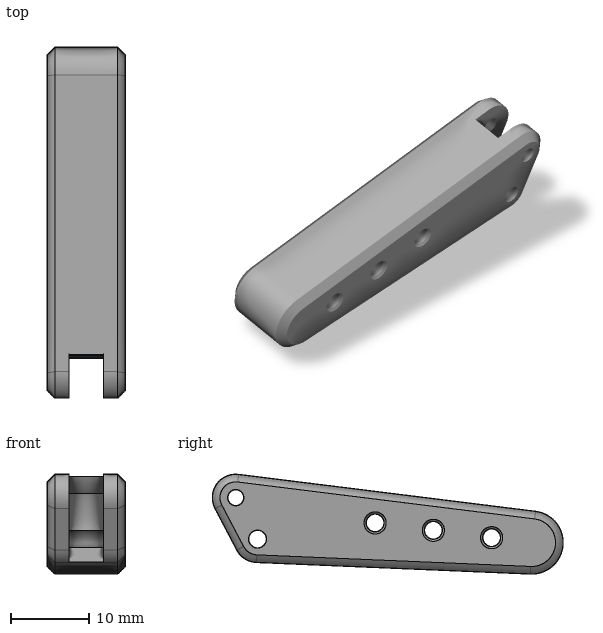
import cadquery as cq
import math

width = 10.0
length = 44.8
height = 12.75
edge_chamfer = 1.0
tail_radius = 4.05
fork_radius = 3.0

tail_center = (length - tail_radius, tail_radius)
upper_pin = (fork_radius, height - fork_radius)
lower_pin = (5.8, 4.5)

upper_pin_diameter = 2.0
lower_pin_diameter = 2.25

cross_hole_count = 3
cross_hole_diameter = 2.25
countersink_diameter = 2.8
first_cross_hole = (20.8, 6.55)
cross_hole_step = (7.45, -0.95)

slot_width = 4.4
slot_top = (5.6, 12.45)
slot_bend = (6.8, 10.3)
slot_bottom = (5.05, 1.52)


def side_plane(thickness):
    """YZ plane from which an extrusion of this thickness is centred on X = 0."""
    return cq.Workplane("YZ").workplane(offset=-thickness / 2)


def tangent_line(start, start_radius, end, end_radius):
    """Outer tangent of two circles, on the right-hand side going from start to end."""
    dy = end[0] - start[0]
    dz = end[1] - start[1]
    distance = math.hypot(dy, dz)
    normal = math.atan2(dz, dy) - math.acos((start_radius - end_radius) / distance)
    return (
        point_on_circle(start, start_radius, normal),
        point_on_circle(end, end_radius, normal),
    )


def point_on_circle(center, radius, angle):
    return (center[0] + radius * math.cos(angle), center[1] + radius * math.sin(angle))


def outer_arc_middle(center, radius, arc_start, arc_end):
    """Point on the circle halfway between the two ends of a rounded corner."""
    dy = arc_start[0] + arc_end[0] - 2 * center[0]
    dz = arc_start[1] + arc_end[1] - 2 * center[1]
    return point_on_circle(center, radius, math.atan2(dz, dy))


def make_body():
    bottom_start, bottom_end = tangent_line(lower_pin, fork_radius, tail_center, tail_radius)
    top_start, top_end = tangent_line(tail_center, tail_radius, upper_pin, fork_radius)
    front_start, front_end = tangent_line(upper_pin, fork_radius, lower_pin, fork_radius)
    return (
        side_plane(width)
        .moveTo(*bottom_start)
        .lineTo(*bottom_end)
        .threePointArc(outer_arc_middle(tail_center, tail_radius, bottom_end, top_start), top_start)
        .lineTo(*top_end)
        .threePointArc(outer_arc_middle(upper_pin, fork_radius, top_end, front_start), front_start)
        .lineTo(*front_end)
        .threePointArc(outer_arc_middle(lower_pin, fork_radius, front_end, bottom_start), bottom_start)
        .close()
        .extrude(width)
        .faces("<X or >X")
        .chamfer(edge_chamfer)
    )


def extend_to_height(start, end, z):
    """Y and Z where the line through two points reaches the given height."""
    slope = (end[0] - start[0]) / (end[1] - start[1])
    return (start[0] + slope * (z - start[1]), z)


def make_slot():
    wall_top = extend_to_height(slot_bend, slot_top, height)
    wall_bottom = extend_to_height(slot_bend, slot_bottom, 0)
    return (
        side_plane(slot_width)
        .polyline([(0, 0), wall_bottom, slot_bend, wall_top, (0, height)])
        .close()
        .extrude(slot_width)
    )


def make_cross_cylinder(center, diameter):
    return side_plane(width).center(*center).circle(diameter / 2).extrude(width)


def make_countersunk_hole(center):
    """Through hole with a 45 degree countersink at both ends."""
    depth = (countersink_diameter - cross_hole_diameter) / 2
    hole = make_cross_cylinder(center, cross_hole_diameter)
    for side in (-1, 1):
        cone = cq.Solid.makeCone(
            countersink_diameter / 2,
            cross_hole_diameter / 2,
            depth,
            pnt=cq.Vector(side * width / 2, *center),
            dir=cq.Vector(-side, 0, 0),
        )
        hole = hole.union(cq.Workplane(cone))
    return hole


result = make_body().cut(make_slot())
result = result.cut(make_cross_cylinder(upper_pin, upper_pin_diameter))
result = result.cut(make_cross_cylinder(lower_pin, lower_pin_diameter))
for index in range(cross_hole_count):
    hole_y = first_cross_hole[0] + index * cross_hole_step[0]
    hole_z = first_cross_hole[1] + index * cross_hole_step[1]
    result = result.cut(make_countersunk_hole((hole_y, hole_z)))